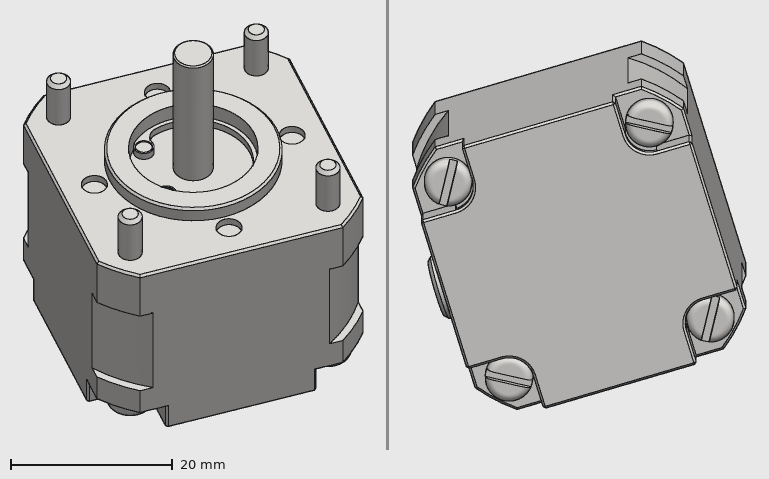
import cadquery as cq
import math

width = 35.0
cap_corner_radius = 22.0
stack_corner_radius = 21.0
edge_chamfer = 0.3

rear_cap_top = 7.55
stack_top = 20.2
front_face = 27.0
shaft_top = 45.1

pilot_radius = 11.0
pilot_height = 2.0
bore_radius = 8.0
ring_thickness = 1.0
ring_inner_radius = 7.45
bore_depth = 3.2
bore_floor = front_face + pilot_height - bore_depth
shaft_radius = 2.5
shaft_chamfer = 0.2
ear_radius = 1.27
ear_hole_radius = 1.05
ear_hole_depth = 0.2
ear_pitch_radius = 6.65
ear_blend_radius = 1.8
ear_angles = (-50.2, 226.8)

front_hole_radius = 1.6
front_hole_depth = 1.0

screw_offset = 13.0
screw_radius = 1.5
screw_top = 33.5
screw_tip_chamfer = 0.5
head_radius = 2.95
head_height = 2.1
head_fillet = 1.0
slot_width = 1.0
slot_depth = 1.05
slot_angle = 120.0

notch_height = 3.55
notch_wall = 9.9
notch_radius = screw_offset - notch_wall
cover_thickness = 1.0
cavity_width = 2 * screw_offset

grommet_radius = 4.0
grommet_length = 1.0
grommet_height = 4.5
grommet_chamfer = 0.5


def polar_point(radius, angle):
    """Plan position at a radius and an angle in degrees from +X."""
    return (radius * math.cos(math.radians(angle)), radius * math.sin(math.radians(angle)))


def turned_square(corner_radius, bottom, top):
    """Square block with its four corners turned to a circle about Z."""
    height = top - bottom
    block = cq.Workplane().workplane(offset=bottom).rect(width, width).extrude(height)
    envelope = cq.Workplane().workplane(offset=bottom).circle(corner_radius).extrude(height)
    return block.intersect(envelope)


def corner_notch(quarter_turn):
    """Cutter for one rear corner, rounded around the screw there."""
    outer = -width
    cutter = (
        cq.Workplane()
        .moveTo(outer, outer)
        .lineTo(outer, -notch_wall)
        .lineTo(-screw_offset, -notch_wall)
        .radiusArc((-notch_wall, -screw_offset), notch_radius)
        .lineTo(-notch_wall, outer)
        .close()
        .extrude(notch_height)
    )
    return cutter.rotate((0, 0, 0), (0, 0, 1), 90 * quarter_turn)


def rear_cap():
    """Rear cap with notched corners, chamfered outer rim and an open cavity behind the cover."""
    cap = turned_square(cap_corner_radius, 0, rear_cap_top)
    for quarter_turn in range(4):
        cap = cap.cut(corner_notch(quarter_turn))

    reach = width
    inside = width / 2 - edge_chamfer
    across = screw_offset + edge_chamfer
    rim_top = notch_height + edge_chamfer
    low_edges = cq.selectors.BoxSelector((-reach, -reach, -reach), (reach, reach, rim_top))
    inner_x = cq.selectors.BoxSelector((-inside, -across, edge_chamfer), (inside, across, reach))
    inner_y = cq.selectors.BoxSelector((-across, -inside, edge_chamfer), (across, inside, reach))
    cap = cap.edges(low_edges - inner_x - inner_y).chamfer(edge_chamfer)

    cavity = (
        cq.Workplane()
        .workplane(offset=cover_thickness)
        .rect(cavity_width, cavity_width)
        .extrude(notch_height - cover_thickness)
    )
    return cap.cut(cavity)


def front_cap():
    """Front cap with its pilot boss, bearing bore and blind holes."""
    cap = turned_square(cap_corner_radius, stack_top, front_face).faces(">Z").chamfer(edge_chamfer)
    pilot = (
        cq.Workplane()
        .workplane(offset=bore_floor)
        .circle(pilot_radius)
        .extrude(bore_depth)
        .faces(">Z")
        .chamfer(edge_chamfer)
    )
    bore = cq.Workplane().workplane(offset=bore_floor).circle(bore_radius).extrude(bore_depth)
    holes = (
        cq.Workplane()
        .workplane(offset=front_face - front_hole_depth)
        .polarArray(screw_offset, 0, 360, 4)
        .circle(front_hole_radius)
        .extrude(front_hole_depth)
    )
    return cap.union(pilot).cut(bore).cut(holes)


def retaining_ring():
    """Internal retaining ring lying on the bore floor, with an eyed lug at each end."""
    floor = cq.Workplane().workplane(offset=bore_floor)
    lugs = [polar_point(ear_pitch_radius, angle) for angle in ear_angles]
    ring = floor.circle(bore_radius).circle(ring_inner_radius).extrude(ring_thickness)
    gap = (
        floor.polyline([(0, 0)] + [(2 * x, 2 * y) for x, y in lugs])
        .close()
        .extrude(ring_thickness)
    )
    ring = ring.cut(gap).union(floor.pushPoints(lugs).circle(ear_radius).extrude(ring_thickness))

    spread = math.degrees(
        math.acos(
            (ring_inner_radius**2 + ear_pitch_radius**2 - ear_radius**2)
            / (2 * ring_inner_radius * ear_pitch_radius)
        )
    )
    for angle in (ear_angles[0] + spread, ear_angles[1] - spread):
        corner = polar_point(ring_inner_radius, angle) + (bore_floor + ring_thickness / 2,)
        ring = ring.edges(cq.selectors.NearestToPointSelector(corner)).fillet(ear_blend_radius)

    eyes = (
        floor.workplane(offset=ring_thickness)
        .pushPoints(lugs)
        .circle(ear_hole_radius)
        .extrude(-ear_hole_depth)
    )
    return ring.cut(eyes)


def screw(quarter_turn):
    """One clamping screw: slotted round head in a rear notch, tip standing proud of the front face."""
    shank = (
        cq.Workplane()
        .workplane(offset=notch_height)
        .circle(screw_radius)
        .extrude(screw_top - notch_height)
        .faces(">Z")
        .chamfer(screw_tip_chamfer)
    )
    head = (
        cq.Workplane()
        .workplane(offset=notch_height)
        .circle(head_radius)
        .extrude(-head_height)
        .faces("<Z")
        .edges()
        .fillet(head_fillet)
    )
    slot = (
        cq.Workplane()
        .workplane(offset=notch_height - head_height)
        .transformed(rotate=(0, 0, slot_angle))
        .rect(2 * head_radius, slot_width)
        .extrude(slot_depth)
    )
    placed = shank.union(head.cut(slot)).translate((-screw_offset, -screw_offset, 0))
    return placed.rotate((0, 0, 0), (0, 0, 1), 90 * quarter_turn)


def grommet():
    """Round cable grommet standing out of the back face."""
    return (
        cq.Workplane("XZ", origin=(0, width / 2, grommet_height))
        .circle(grommet_radius)
        .extrude(-grommet_length)
        .faces(">Y")
        .chamfer(grommet_chamfer)
    )


def make_housing():
    """Rear cap, stack and front cap with the fixed parts attached to them."""
    body = rear_cap()
    body = body.union(turned_square(stack_corner_radius, rear_cap_top, stack_top))
    body = body.union(front_cap())
    body = body.union(retaining_ring())
    body = body.union(grommet())
    for quarter_turn in range(4):
        body = body.union(screw(quarter_turn))
    return body


def make_shaft():
    """Output shaft standing on the bore floor."""
    return (
        cq.Workplane()
        .workplane(offset=bore_floor)
        .circle(shaft_radius)
        .extrude(shaft_top - bore_floor)
        .faces(">Z")
        .chamfer(shaft_chamfer)
    )


housing = make_housing()
shaft = make_shaft()

result = cq.Compound.makeCompound([housing.val(), shaft.val()])